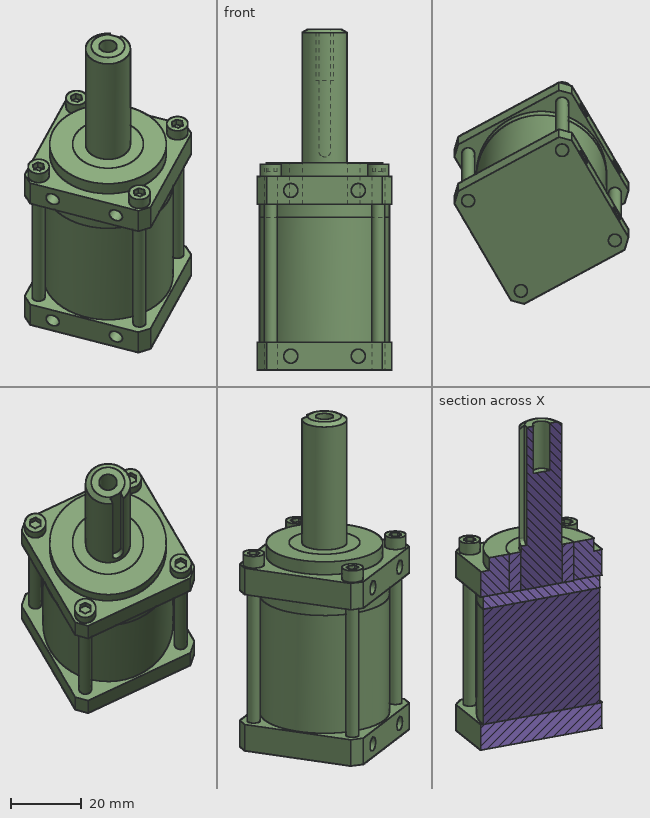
import cadquery as cq

plate_width = 38.1
plate_thickness = 7.9
plate_corner_cut = 2.7
top_plate_z = 46.8
top_plate_top = top_plate_z + plate_thickness
boss_radius = 16.5
boss_height = 3.9
boss_top = top_plate_top + boss_height

edge_hole_diameter = 4.0
edge_hole_spacing = 19.1
edge_hole_depth = 7.7

housing_radius = 18.4
spacer_height = 3.7
housing_height = top_plate_z - spacer_height - plate_thickness

bearing_radius = 10.0
total_height = 96.4
shaft_radius = 6.4
shaft_tip_radius = 4.7
shaft_tip_height = 1.0
shaft_bore_radius = 2.5
shaft_bore_depth = 14.5
keyway_width = 3.4
keyway_floor_y = 4.6
keyway_length = 36.05

screw_spacing = 30.5
shank_radius = 1.8
head_radius = 3.0
head_height = 3.5
hex_corner_diameter = 3.5
hex_depth = 1.9


def make_plate(base_z):
    """Square plate with cut corners, screw holes and two blind holes in its -Y edge."""
    plate = (
        cq.Workplane("XY", origin=(0, 0, base_z))
        .rect(plate_width, plate_width)
        .extrude(plate_thickness)
        .edges("|Z")
        .chamfer(plate_corner_cut)
    )
    screw_holes = (
        cq.Workplane("XY", origin=(0, 0, base_z))
        .rect(screw_spacing, screw_spacing, forConstruction=True)
        .vertices()
        .circle(shank_radius)
        .extrude(plate_thickness)
    )
    edge_holes = (
        cq.Workplane("XZ", origin=(0, -plate_width / 2, base_z + plate_thickness / 2))
        .pushPoints([(-edge_hole_spacing / 2, 0), (edge_hole_spacing / 2, 0)])
        .circle(edge_hole_diameter / 2)
        .extrude(-edge_hole_depth)
    )
    return plate.cut(screw_holes).cut(edge_holes)


def make_top_plate():
    """Plate with a round boss, bored through for the bearing."""
    boss = cq.Workplane("XY", origin=(0, 0, top_plate_top)).circle(boss_radius).extrude(boss_height)
    bearing_seat = (
        cq.Workplane("XY", origin=(0, 0, top_plate_z)).circle(bearing_radius).extrude(boss_top - top_plate_z)
    )
    return make_plate(top_plate_z).union(boss).cut(bearing_seat)


def make_housing():
    return cq.Workplane("XY", origin=(0, 0, plate_thickness)).circle(housing_radius).extrude(housing_height)


def make_spacer():
    """Disc between the housing and the top plate."""
    base_z = plate_thickness + housing_height
    return cq.Workplane("XY", origin=(0, 0, base_z)).circle(housing_radius).extrude(spacer_height)


def make_bearing():
    """Ring around the shaft, flush with the top of the boss."""
    return (
        cq.Workplane("XY", origin=(0, 0, top_plate_z))
        .circle(bearing_radius)
        .circle(shaft_radius)
        .extrude(boss_top - top_plate_z)
    )


def make_shaft():
    """Shaft with a tapered tip, an axial bore and a keyway open at the tip."""
    profile = [
        (0, top_plate_z),
        (shaft_radius, top_plate_z),
        (shaft_radius, total_height - shaft_tip_height),
        (shaft_tip_radius, total_height),
        (0, total_height),
    ]
    shaft = cq.Workplane("XZ").polyline(profile).close().revolve(360, (0, 0), (0, 1))
    bore = cq.Workplane("XY", origin=(0, 0, total_height)).circle(shaft_bore_radius).extrude(-shaft_bore_depth)

    keyway_bottom = total_height - keyway_length
    half_width = keyway_width / 2
    keyway = (
        cq.Workplane("XZ", origin=(0, keyway_floor_y, 0))
        .moveTo(-half_width, total_height)
        .lineTo(-half_width, keyway_bottom + half_width)
        .threePointArc((0, keyway_bottom), (half_width, keyway_bottom + half_width))
        .lineTo(half_width, total_height)
        .close()
        .extrude(-shaft_radius)
    )
    return shaft.cut(bore).cut(keyway)


def make_screw(x, y):
    """Socket head screw seated on the top plate and ending flush with the lower plate's underside."""
    shank = cq.Workplane("XY", origin=(x, y, 0)).circle(shank_radius).extrude(top_plate_top)
    head = cq.Workplane("XY", origin=(x, y, top_plate_top)).circle(head_radius).extrude(head_height)
    socket = (
        cq.Workplane("XY", origin=(x, y, top_plate_top + head_height))
        .polygon(6, hex_corner_diameter)
        .extrude(-hex_depth)
    )
    return shank.union(head).cut(socket)


bottom_plate = make_plate(0)
top_plate = make_top_plate()
housing = make_housing()
spacer = make_spacer()
bearing = make_bearing()
shaft = make_shaft()

screws = []
for x in (-screw_spacing / 2, screw_spacing / 2):
    for y in (-screw_spacing / 2, screw_spacing / 2):
        screws.append(make_screw(x, y).val())

result = cq.Compound.makeCompound(
    [bottom_plate.val(), top_plate.val(), housing.val(), spacer.val(), bearing.val(), shaft.val(), *screws]
)